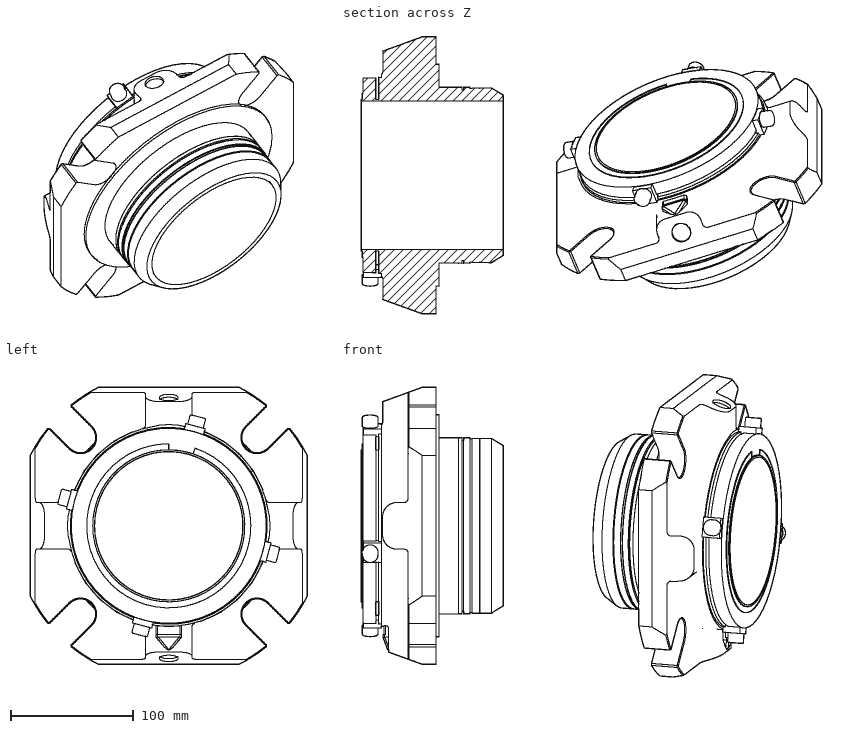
import cadquery as cq
import math

TOTAL_LENGTH = 115.93

BORE_D = 120.65
SLEEVE_D = 123.8
SNAP_RING_D = 133.6
SNAP_RING_FRONT_X = 0.8
SNAP_RING_GAP_END = 18.7
COLLAR_D = 158.75
COLLAR_FRONT_X = 1.4
COLLAR_BACK_X = 12.1

LIP_D = 160.27
LIP_FRONT_X = 14.4
BODY_FRONT_X = 16.6
BODY_FRONT_D = 163.6
BODY_BACK_D = 165.0
BODY_FILLET = 2.5
PAD_ROOT_FILLET = 3.5

FLANGE_WIDTH = 225.65
FLANGE_CORNER_D = 253.0
FLANGE_FRONT_X = 38.4
FLANGE_BACK_X = 61.2
SIDE_SLOPE = 20.0
SIDE_SLOPE_BACK_X = 49.8
FLANGE_EDGE_CHAMFER = 0.8

SLOT_WIDTH = 24.6
SLOT_CENTRE_RADIUS = 101.6
SLOT_FLARE_RADIUS = 124.6

PAD_FRONT_X = 17.5
PAD_CORNER_RADIUS = 11.8
BOTTOM_PAD_FRONT_X = 22.4
BOTTOM_PAD_CORNER_RADIUS = 9.4
PAD_WIDTH = 38.0
PORT_D = 15.34
PORT_CENTRE_X = 26.8
BOTTOM_PORT_CENTRE_X = 36.3
PORT_DEPTH = 2.5

ARROW_WIDTH = 21.0
ARROW_CHAMFER = 1.5
ARROW_OVERLAP = 1.0
ARROW_HEAD_RADIUS = 88.5
ARROW_SHOULDER_RADIUS = 90.5
ARROW_TIP_RADIUS = 103.0
ARROW_STEM_X = 18.6
ARROW_FRONT_X = 17.7

GASKET_D = 181.0
GASKET_BACK_X = 63.5
BARREL_D = 143.66
BARREL_BAND_D = 143.5
BARREL_REAR_D = 142.49
GROOVE_D = 139.19
BARREL_BAND_X = 79.5
GROOVE_FRONT_X = 82.3
GROOVE_BACK_X = 83.6
NARROW_FRONT_X = 88.6
NARROW_BACK_X = 90.3
NARROW_D = 141.53
SCORE_X = 96.3
SCORE_WIDTH = 0.6
NOSE_FRONT_X = 106.2
NOSE_D = 130.5

SCREW_COUNT = 4
SCREW_ANGLE = 15.0
SCREW_X = 7.4
SCREW_HEAD_D = 13.0
SCREW_TOP_RADIUS = 92.0
SCREW_EDGE_RADIUS = 1.1
TAB_FRONT_X = 1.8
TAB_WIDTH = 16.4
TAB_TOP_RADIUS = 84.0
TAB_OVERLAP = 2.0

HALF_WIDTH = FLANGE_WIDTH / 2
FACE_TOLERANCE = 0.01
SLOPE_TAN = math.tan(math.radians(SIDE_SLOPE))


def side_height(x):
    """Distance of the sloped flange side from the axis at a given x."""
    return HALF_WIDTH - (SIDE_SLOPE_BACK_X - x) * SLOPE_TAN


def ring(outer_d, front_x, back_x):
    return cq.Workplane("YZ", origin=(front_x, 0, 0)).circle(outer_d / 2).extrude(back_x - front_x)


def about_axis(shape, degrees):
    """Turn a shape about X; positive angles carry +Z towards -Y."""
    return shape.rotate((0, 0, 0), (1, 0, 0), degrees)


def block(x0, x1, width, z0, z1):
    box = cq.Workplane("XY").box(x1 - x0, width, z1 - z0, centered=(False, True, False))
    return box.translate((x0, 0, z0))


def is_on_flange_face(edge):
    box = edge.BoundingBox()
    return box.xmin > FLANGE_FRONT_X - FACE_TOLERANCE and box.xmax < FLANGE_FRONT_X + FACE_TOLERANCE


def select(shape, condition):
    """The edges of a shape that meet a condition, ready for a fillet or chamfer."""
    return shape.newObject(shape.edges().filter(condition).vals())


def is_rim_edge(edge):
    """True for the edges of the flange's front face along the slots and the rounded corners."""
    centre = edge.Center()
    return is_on_flange_face(edge) and min(abs(centre.y), abs(centre.z)) > PAD_WIDTH


def cut_flange_outline(body):
    """Round the flange corners and open a bolt slot at each of them."""
    corners = ring(3 * FLANGE_WIDTH, FLANGE_FRONT_X, FLANGE_BACK_X)
    corners = corners.cut(ring(FLANGE_CORNER_D, FLANGE_FRONT_X, FLANGE_BACK_X))
    body = body.cut(corners)
    half = SLOT_WIDTH / 2
    reach = FLANGE_CORNER_D / 2 + half
    flare = reach - SLOT_FLARE_RADIUS
    slot = (
        cq.Workplane("XZ")
        .moveTo(-half, SLOT_CENTRE_RADIUS)
        .threePointArc((0, SLOT_CENTRE_RADIUS - half), (half, SLOT_CENTRE_RADIUS))
        .lineTo(half, SLOT_FLARE_RADIUS)
        .lineTo(half + flare, reach)
        .lineTo(-half - flare, reach)
        .lineTo(-half, SLOT_FLARE_RADIUS)
        .close()
        .extrude(-FLANGE_BACK_X)
        .rotate((0, 0, 0), (0, 0, 1), -90)
    )
    for quarter in range(4):
        body = body.cut(about_axis(slot, 45 + 90 * quarter))
    return select(body, is_rim_edge).chamfer(FLANGE_EDGE_CHAMFER)


def make_pad(front_x, corner_radius):
    pad = block(front_x, SIDE_SLOPE_BACK_X, PAD_WIDTH, BORE_D / 2, HALF_WIDTH)
    return pad.edges("|Z and <X").fillet(corner_radius)


def cut_side_slopes(shape):
    """Slope the front part of the four flange sides and the pads on them."""
    front_x = 0
    wedge = (
        cq.Workplane("XZ", origin=(0, HALF_WIDTH, 0))
        .moveTo(front_x, side_height(front_x))
        .lineTo(SIDE_SLOPE_BACK_X, HALF_WIDTH)
        .lineTo(front_x, HALF_WIDTH)
        .close()
        .extrude(FLANGE_WIDTH)
    )
    for quarter in range(4):
        shape = shape.cut(about_axis(wedge, 90 * quarter))
    return shape


def make_port(centre_x):
    """Shallow round recess square to the sloped flange side."""
    tilt = math.radians(SIDE_SLOPE)
    normal = cq.Vector(-math.sin(tilt), 0, math.cos(tilt))
    floor = cq.Vector(centre_x, 0, side_height(centre_x)) - normal * PORT_DEPTH
    return cq.Workplane(cq.Solid.makeCylinder(PORT_D / 2, 2 * PORT_DEPTH, floor, normal))


def cut_ports(shape):
    bottom_port = about_axis(make_port(BOTTOM_PORT_CENTRE_X), 180)
    return shape.cut(make_port(PORT_CENTRE_X)).cut(bottom_port)


def is_pad_root_edge(edge):
    """True for the straight edges where the pad sides meet the flange face."""
    centre = edge.Center()
    on_outline = max(abs(centre.y), abs(centre.z)) > HALF_WIDTH - FACE_TOLERANCE
    return edge.geomType() == "LINE" and is_on_flange_face(edge) and not on_outline


def is_cone_edge(edge):
    """True where the cone meets the flange face or a pad."""
    centre = edge.Center()
    box = edge.BoundingBox()
    near_cone = math.hypot(centre.y, centre.z) < BODY_BACK_D / 2 + BODY_FILLET
    return near_cone and box.xmax > BODY_FRONT_X and box.xmax < FLANGE_FRONT_X + FACE_TOLERANCE


def make_body():
    run_out = 2 * BODY_FILLET
    taper = (BODY_BACK_D - BODY_FRONT_D) / 2 / (FLANGE_FRONT_X - BODY_FRONT_X)
    body = (
        cq.Workplane("XY")
        .moveTo(BODY_FRONT_X - run_out, 0)
        .lineTo(BODY_FRONT_X - run_out, BODY_FRONT_D / 2 - run_out * taper)
        .lineTo(FLANGE_FRONT_X, BODY_BACK_D / 2)
        .lineTo(FLANGE_FRONT_X, 0)
        .close()
        .revolve(360, (0, 0, 0), (1, 0, 0))
    )
    body = body.union(block(FLANGE_FRONT_X, FLANGE_BACK_X, FLANGE_WIDTH, -HALF_WIDTH, HALF_WIDTH))
    upright_pad = make_pad(PAD_FRONT_X, PAD_CORNER_RADIUS)
    for degrees in (-90, 0, 90):
        body = body.union(about_axis(upright_pad, degrees))
    body = body.union(about_axis(make_pad(BOTTOM_PAD_FRONT_X, BOTTOM_PAD_CORNER_RADIUS), 180))
    body = select(body, is_pad_root_edge).fillet(PAD_ROOT_FILLET)
    body = select(body, is_cone_edge).fillet(BODY_FILLET)
    body = body.cut(ring(FLANGE_WIDTH, 0, BODY_FRONT_X))
    return cut_ports(cut_side_slopes(cut_flange_outline(body)))


def is_arrow_face_edge(edge):
    """True for the side edges of the arrow head's front faces."""
    box = edge.BoundingBox()
    across = box.zmax - box.zmin < FACE_TOLERANCE
    return not across and box.xmax < BOTTOM_PAD_FRONT_X + FACE_TOLERANCE


def make_arrow():
    """Arrow standing on the bottom pad: a stem and a head whose face slopes back to the tip."""
    back_x = BOTTOM_PAD_FRONT_X + ARROW_OVERLAP
    stem = block(ARROW_STEM_X, back_x, ARROW_WIDTH, -ARROW_SHOULDER_RADIUS, -BORE_D / 2)
    stem = stem.edges("|Z and <X").chamfer(ARROW_CHAMFER)
    head = (
        cq.Workplane("YZ", origin=(ARROW_FRONT_X, 0, 0))
        .moveTo(-ARROW_WIDTH / 2, -ARROW_SHOULDER_RADIUS)
        .lineTo(-ARROW_WIDTH / 2, -ARROW_HEAD_RADIUS)
        .lineTo(ARROW_WIDTH / 2, -ARROW_HEAD_RADIUS)
        .lineTo(ARROW_WIDTH / 2, -ARROW_SHOULDER_RADIUS)
        .lineTo(0, -ARROW_TIP_RADIUS)
        .close()
        .extrude(back_x - ARROW_FRONT_X)
    )
    slope = (
        cq.Workplane("XZ", origin=(0, ARROW_WIDTH / 2, 0))
        .moveTo(ARROW_FRONT_X, -ARROW_SHOULDER_RADIUS)
        .lineTo(BOTTOM_PAD_FRONT_X, -ARROW_TIP_RADIUS)
        .lineTo(ARROW_FRONT_X, -ARROW_TIP_RADIUS)
        .close()
        .extrude(ARROW_WIDTH)
    )
    head = head.cut(slope)
    head = select(head, is_arrow_face_edge).chamfer(ARROW_CHAMFER)
    return stem.union(head)


def make_collar():
    """Sleeve, clamp collar and the split snap ring standing out of the collar's front face."""
    snap_ring = ring(SNAP_RING_D, SNAP_RING_FRONT_X, COLLAR_BACK_X)
    gap_end = math.radians(SNAP_RING_GAP_END)
    reach = SNAP_RING_D
    gap = (
        cq.Workplane("YZ", origin=(SNAP_RING_FRONT_X, 0, 0))
        .lineTo(0, reach)
        .lineTo(-reach * math.sin(gap_end), reach * math.cos(gap_end))
        .close()
        .extrude(COLLAR_FRONT_X - SNAP_RING_FRONT_X)
    )
    collar = snap_ring.cut(gap).union(ring(COLLAR_D, COLLAR_FRONT_X, COLLAR_BACK_X))
    return collar.union(ring(SLEEVE_D, 0, FLANGE_BACK_X))


def make_screw_tab():
    """Tab bridging the collar and the body at +Z, with a cap screw head on it."""
    tab = block(TAB_FRONT_X, BODY_FRONT_X, TAB_WIDTH, COLLAR_D / 2 - TAB_OVERLAP, TAB_TOP_RADIUS)
    head = (
        cq.Workplane("XY", origin=(SCREW_X, 0, TAB_TOP_RADIUS))
        .circle(SCREW_HEAD_D / 2)
        .extrude(SCREW_TOP_RADIUS - TAB_TOP_RADIUS)
        .faces(">Z")
        .edges()
        .fillet(SCREW_EDGE_RADIUS)
    )
    return tab.union(head)


def make_barrel():
    """Gasket and grooved barrel behind the flange, ending in a tapered nose."""
    barrel = ring(GASKET_D, FLANGE_BACK_X, GASKET_BACK_X)
    sections = [
        (BARREL_D, FLANGE_BACK_X, BARREL_BAND_X),
        (BARREL_BAND_D, BARREL_BAND_X, GROOVE_FRONT_X),
        (GROOVE_D, GROOVE_FRONT_X, GROOVE_BACK_X),
        (BARREL_BAND_D, GROOVE_BACK_X, NARROW_FRONT_X),
        (NARROW_D, NARROW_FRONT_X, NARROW_BACK_X),
        (BARREL_REAR_D, NARROW_BACK_X, SCORE_X),
        (NARROW_D, SCORE_X, SCORE_X + SCORE_WIDTH),
        (BARREL_REAR_D, SCORE_X + SCORE_WIDTH, NOSE_FRONT_X),
    ]
    for diameter, front_x, back_x in sections:
        barrel = barrel.union(ring(diameter, front_x, back_x))
    nose = cq.Workplane(
        cq.Solid.makeCone(BARREL_REAR_D / 2, NOSE_D / 2, TOTAL_LENGTH - NOSE_FRONT_X,
                          cq.Vector(NOSE_FRONT_X, 0, 0), cq.Vector(1, 0, 0))
    )
    return barrel.union(nose)


result = make_body().union(ring(LIP_D, LIP_FRONT_X, BODY_FRONT_X))
result = result.union(make_arrow()).union(make_collar()).union(make_barrel())
for index in range(SCREW_COUNT):
    result = result.union(about_axis(make_screw_tab(), SCREW_ANGLE + 360 / SCREW_COUNT * index))
result = result.cut(ring(BORE_D, 0, TOTAL_LENGTH))